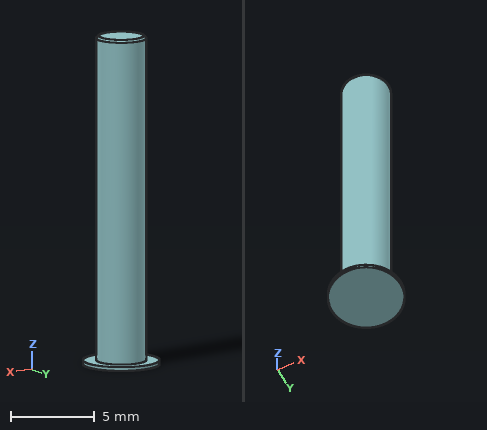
import cadquery as cq

total_length = 20.0
pin_diameter = 3.0
flange_diameter = 4.6
flange_thickness = 0.25
tip_chamfer = 0.15

flange = cq.Workplane("XY").circle(flange_diameter / 2).extrude(flange_thickness)

pin = (
    cq.Workplane("XY")
    .circle(pin_diameter / 2)
    .extrude(total_length)
    .faces(">Z")
    .chamfer(tip_chamfer)
)

result = flange.union(pin)